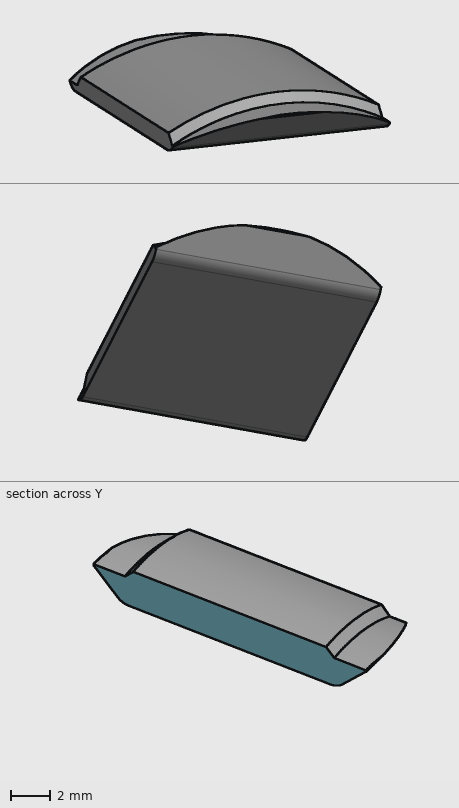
import cadquery as cq
import math

length = 16.48
width = 12.0
height = 2.35
pad_radius = 13.5
pad_step = 0.5
shoulder_radius = pad_radius - pad_step
crown_axis_z = height - pad_radius

tip_height = 1.73
base_round = 1.0

pad_length = 11.66
skew_angle = 4.2
flank_margin = 0.5


def crowned_plate(radius):
    """Bar along X with a flat base and a top of the given crown radius."""
    half_width = width / 2
    edge_z = crown_axis_z + math.sqrt(radius**2 - half_width**2)
    return (
        cq.Workplane("YZ", origin=(-length / 2, 0, 0))
        .moveTo(-half_width, 0)
        .lineTo(half_width, 0)
        .lineTo(half_width, edge_z)
        .threePointArc((0, crown_axis_z + radius), (-half_width, edge_z))
        .close()
        .extrude(length)
    )


def end_envelope():
    """Side profile with undercut ends, extruded across the width."""
    half_length = length / 2
    half_base = half_length - tip_height
    return (
        cq.Workplane("XZ")
        .polyline([
            (-half_base, 0),
            (half_base, 0),
            (half_length, tip_height),
            (half_length, height),
            (-half_length, height),
            (-half_length, tip_height),
        ])
        .close()
        .extrude(width / 2, both=True)
        .edges("<Z and |Y")
        .fillet(base_round)
    )


def skewed_section(x_center, radius):
    """Upright arched outline on a skewed plane, crossing the X axis at x_center."""
    half_span = width / 2 + flank_margin
    edge_z = crown_axis_z + math.sqrt(radius**2 - half_span**2)
    foot_z = -height

    def on_plane(y, z):
        return cq.Vector(x_center - y * math.tan(math.radians(skew_angle)), y, z)

    near_foot = on_plane(-half_span, foot_z)
    far_foot = on_plane(half_span, foot_z)
    near_edge = on_plane(-half_span, edge_z)
    far_edge = on_plane(half_span, edge_z)
    crown = on_plane(0, crown_axis_z + radius)
    return cq.Wire.assembleEdges([
        cq.Edge.makeLine(near_foot, far_foot),
        cq.Edge.makeLine(far_foot, far_edge),
        cq.Edge.makeThreePointArc(far_edge, crown, near_edge),
        cq.Edge.makeLine(near_edge, near_foot),
    ])


def pad_envelope():
    """Skewed block with sloping end flanks that bounds the raised pad."""
    upper_radius = pad_radius + flank_margin
    lower_radius = shoulder_radius - flank_margin
    upper_x = pad_length / 2 - flank_margin
    lower_x = pad_length / 2 + pad_step + flank_margin
    sections = [
        skewed_section(-lower_x, lower_radius),
        skewed_section(-upper_x, upper_radius),
        skewed_section(upper_x, upper_radius),
        skewed_section(lower_x, lower_radius),
    ]
    return cq.Workplane(obj=cq.Solid.makeLoft(sections, True))


raised_pad = crowned_plate(pad_radius).intersect(pad_envelope())
result = crowned_plate(shoulder_radius).union(raised_pad).intersect(end_envelope())